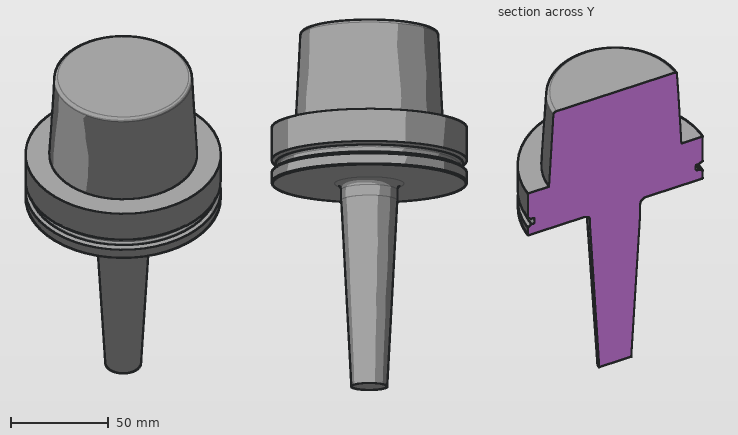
import cadquery as cq

total_height = 185.0
plug_height = 50.0
flange_height = 29.0
neck_height = 8.9

flange_radius = 100.0 / 2
plug_base_radius = 38.0
plug_top_radius = 35.3
neck_radius = 14.5
tip_radius = 9.2

groove_depth = 3.9
groove_floor_width = 3.5
bevel_depth = 2.0
bevel_height = 1.5
lower_rim_height = 5.7

plug_fillet = 1.8
neck_fillet = 3.3
groove_fillet = 0.7
flange_chamfer = 0.5

flange_top = total_height - plug_height
flange_bottom = flange_top - flange_height
neck_bottom = flange_bottom - neck_height


def circles_at(height, radius):
    """Selector for the circular edge of a given radius at a given height."""
    margin = 0.02
    return cq.selectors.BoxSelector(
        (-radius - margin, -radius - margin, height - margin),
        (radius + margin, radius + margin, height + margin),
        boundingbox=True,
    )


def make_body():
    """Revolve the tapered shank, neck, chamfered flange and tapered plug about Z."""
    profile = (
        cq.Workplane("XZ")
        .lineTo(tip_radius, 0)
        .lineTo(neck_radius, neck_bottom)
        .lineTo(neck_radius, flange_bottom)
        .lineTo(flange_radius - flange_chamfer, flange_bottom)
        .lineTo(flange_radius, flange_bottom + flange_chamfer)
        .lineTo(flange_radius, flange_top)
        .lineTo(plug_base_radius, flange_top)
        .lineTo(plug_top_radius, total_height)
        .lineTo(0, total_height)
        .close()
    )
    return profile.revolve(360, (0, 0, 0), (0, 1, 0))


def make_rim_groove():
    """Ring that cuts the slot, with rounded floor corners, and its beveled mouth into the flange rim."""
    floor_radius = flange_radius - groove_depth
    bevel_radius = flange_radius - bevel_depth
    lower_edge = flange_bottom + lower_rim_height
    floor_bottom = lower_edge + bevel_height
    floor_top = floor_bottom + groove_floor_width
    upper_edge = floor_top + bevel_height
    profile = (
        cq.Workplane("XZ")
        .moveTo(flange_radius, lower_edge)
        .lineTo(bevel_radius, floor_bottom)
        .lineTo(floor_radius, floor_bottom)
        .lineTo(floor_radius, floor_top)
        .lineTo(bevel_radius, floor_top)
        .lineTo(flange_radius, upper_edge)
        .close()
    )
    ring = profile.revolve(360, (0, 0, 0), (0, 1, 0))
    for corner_height in (floor_bottom, floor_top):
        ring = ring.edges(circles_at(corner_height, floor_radius)).fillet(groove_fillet)
    return ring


body = make_body()
body = body.edges(circles_at(total_height, plug_top_radius)).fillet(plug_fillet)
body = body.edges(circles_at(flange_bottom, neck_radius)).fillet(neck_fillet)

result = body.cut(make_rim_groove())